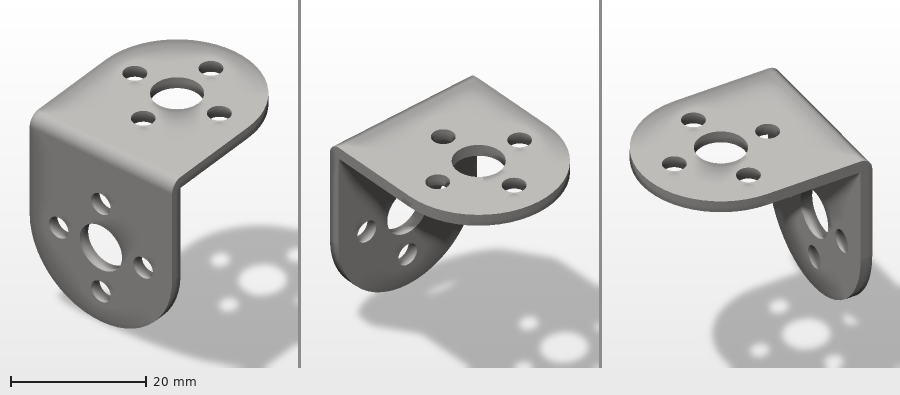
import cadquery as cq

leg_length = 31.5
width = 27.0
thickness = 2.0
bend_radius = thickness
center_hole_diameter = 8.0
small_hole_diameter = 3.7
small_hole_circle_radius = 8.0
small_hole_count = 4

end_radius = width / 2
hole_center_distance = leg_length - end_radius


def make_leg():
    """Flat leg along +Y from the bend line, its top face at Z = 0."""
    outline = (
        cq.Workplane("XY")
        .workplane(offset=-thickness)
        .moveTo(-end_radius, 0)
        .lineTo(-end_radius, hole_center_distance)
        .threePointArc((0, leg_length), (end_radius, hole_center_distance))
        .lineTo(end_radius, 0)
        .close()
    )
    return outline.extrude(thickness)


def make_hole_cutters():
    """Central hole and the ring of small holes through one leg."""
    plane = cq.Workplane("XY", origin=(0, hole_center_distance, -thickness))
    center_hole = plane.circle(center_hole_diameter / 2).extrude(thickness)
    small_holes = (
        plane.polarArray(small_hole_circle_radius, 0, 360, small_hole_count)
        .circle(small_hole_diameter / 2)
        .extrude(thickness)
    )
    return center_hole.union(small_holes)


def turn_down(body):
    """Map the horizontal leg (+Y, top at Z = 0) to the vertical one (-Z, front at Y = 0)."""
    return body.rotate((0, 0, 0), (1, 0, 0), -90).mirror("XZ")


horizontal_leg = make_leg()
bracket = horizontal_leg.union(turn_down(horizontal_leg))
bend_edge = cq.selectors.BoxSelector(
    (-width, -thickness / 2, -thickness / 2),
    (width, thickness / 2, thickness / 2),
)
bracket = bracket.edges("|X").edges(bend_edge).fillet(bend_radius)

hole_cutters = make_hole_cutters()
result = bracket.cut(hole_cutters).cut(turn_down(hole_cutters))